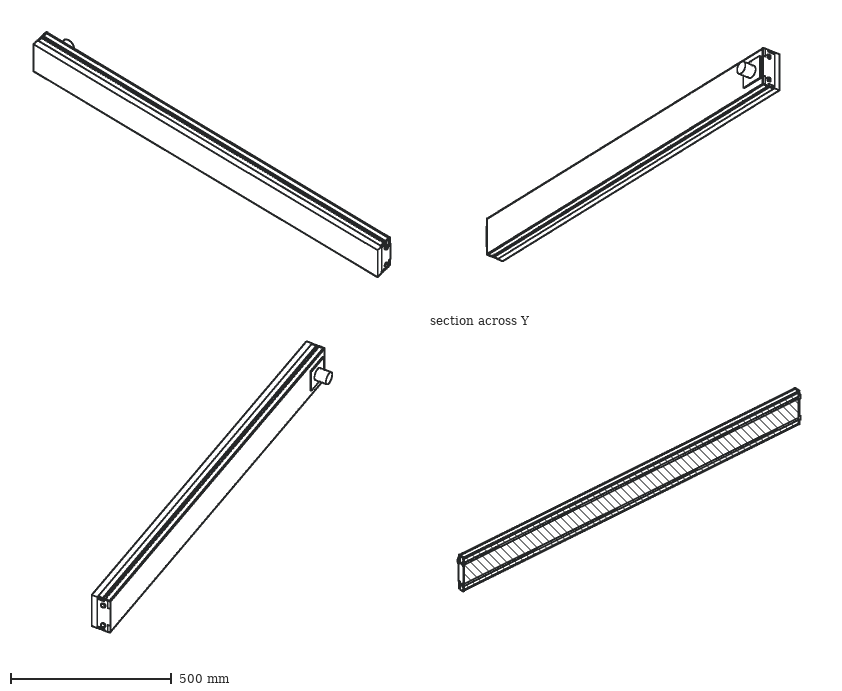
import cadquery as cq

overall_length = 1366.0
overall_depth = 110.0
height = 130.0

screw_head_length = 4.0
screw_head_diameter = 15.0
screw_bore_diameter = 7.0
screw_y = 42.0
screw_z = 41.0

body_length = overall_length - screw_head_length
cap_thickness = 4.4
left_end = -overall_length / 2
right_end = left_end + body_length

panel_depth = 20.0
profile_back = 65.0
flange_thickness = 4.0
flange_back = profile_back + flange_thickness

groove_front = 37.0
groove_width = 8.0
groove_depth = 4.0
back_step_width = 4.0
back_step_depth = 1.0

recess_depth = 0.7
front_recess_back = groove_front + groove_width
front_recess_half_height = 57.0
back_recess_front = 57.0
back_recess_half_height = 35.0

connector_x = left_end + 53.0
flange_side = 79.0
tube_diameter = 41.0


def make_panel():
    """Flat front panel that covers the profile and both end caps."""
    return cq.Workplane("XY").box(body_length, panel_depth, height, centered=False).translate(
        (left_end, 0, -height / 2)
    )


def screw_cylinders(start_x, length, diameter):
    """One cylinder along X at each of the two screw positions."""
    return (
        cq.Workplane("YZ", origin=(start_x, 0, 0))
        .pushPoints([(screw_y, -screw_z), (screw_y, screw_z)])
        .circle(diameter / 2)
        .extrude(length)
    )


def channel_pair(start_x, length, front_y, back_y, floor_z):
    """Two mirrored bars along X, from floor_z out to the top and from -floor_z out to the bottom."""
    width = back_y - front_y
    depth = height / 2 - floor_z
    middle_y = (front_y + back_y) / 2
    middle_z = (height / 2 + floor_z) / 2
    return (
        cq.Workplane("YZ", origin=(start_x, 0, 0))
        .pushPoints([(middle_y, -middle_z), (middle_y, middle_z)])
        .rect(width, depth)
        .extrude(length)
    )


def backing_block(start_x, length):
    """Rectangular length of the section behind the panel."""
    return cq.Workplane("XY").box(length, profile_back - panel_depth, height, centered=False).translate(
        (start_x, panel_depth, -height / 2)
    )


def make_profile():
    """Extruded rail with a groove and a back step in its top and bottom, and two screw bores."""
    start_x = left_end + cap_thickness
    length = body_length - 2 * cap_thickness
    groove_back = groove_front + groove_width
    step_front = profile_back - back_step_width
    grooves = channel_pair(start_x, length, groove_front, groove_back, height / 2 - groove_depth)
    steps = channel_pair(start_x, length, step_front, profile_back, height / 2 - back_step_depth)
    bores = screw_cylinders(start_x, length, screw_bore_diameter)
    return backing_block(start_x, length).cut(grooves).cut(steps).cut(bores)


def make_cap_plate(plate_x, recess_x):
    """End plate at plate_x whose outer face has shallow corner recesses, which start at recess_x."""
    front_recesses = channel_pair(
        recess_x, recess_depth, panel_depth, front_recess_back, front_recess_half_height
    )
    back_recesses = channel_pair(
        recess_x, recess_depth, back_recess_front, profile_back, back_recess_half_height
    )
    return backing_block(plate_x, cap_thickness).cut(front_recesses).cut(back_recesses)


def make_left_cap():
    """End cap with two open screw holes."""
    holes = screw_cylinders(left_end, cap_thickness, screw_head_diameter)
    return make_cap_plate(left_end, left_end).cut(holes)


def make_right_cap():
    """End cap with two screw heads standing out of it."""
    heads = screw_cylinders(right_end, screw_head_length, screw_head_diameter)
    return make_cap_plate(right_end - cap_thickness, right_end - recess_depth).union(heads)


def backward_plane(y):
    """Workplane on the connector axis at the given depth, facing +Y."""
    return cq.Workplane(cq.Plane(origin=(connector_x, y, 0), xDir=(0, 0, 1), normal=(0, 1, 0)))


def make_connector():
    """Round tube on a square flange that sits on the back of the profile."""
    flange = backward_plane(profile_back).rect(flange_side, flange_side).extrude(flange_thickness)
    tube = backward_plane(flange_back).circle(tube_diameter / 2).extrude(overall_depth - flange_back)
    return flange.union(tube)


panel = make_panel()
profile = make_profile()
left_cap = make_left_cap()
right_cap = make_right_cap()
connector = make_connector()

result = cq.Compound.makeCompound(
    [panel.val(), profile.val(), left_cap.val(), right_cap.val(), connector.val()]
)